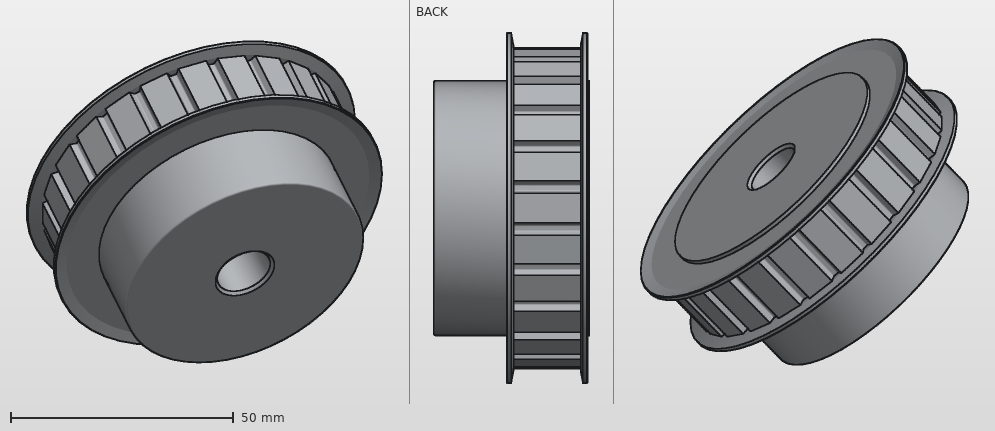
import cadquery as cq
import math

total_length = 34.9

flange_radius = 39.3
bend_radius = 36.4
flange_thickness = 1.0
bend_offset = 0.55
rim_chamfer = 0.15

track_width = 15.0
tooth_tip_radius = 36.0
tooth_count = 24
groove_top_width = 2.7
groove_floor_width = 1.3
groove_depth = 1.4
groove_fillet = 0.4
pitch_angle = 360 / tooth_count

hub_radius = 28.6
hub_fillet = 0.5
collar_length = 0.4
bore_radius = 6.4
bore_chamfer = 0.7

track_start = collar_length + bend_offset + flange_thickness
track_end = track_start + track_width
track_middle = (track_start + track_end) / 2


def make_hub():
    """Cylinder over the full length, rounded at its far end."""
    hub = cq.Workplane("YZ").circle(hub_radius).extrude(total_length)
    return hub.faces(">X").edges().fillet(hub_fillet)


def make_groove_cutter():
    """Trapezoidal belt groove centred on +Z, with rounded floor corners."""
    floor_radius = tooth_tip_radius - groove_depth
    wall_slope = (groove_top_width - groove_floor_width) / 2 / groove_depth
    overshoot = groove_depth / 2
    half_floor = groove_floor_width / 2
    half_mouth = groove_top_width / 2 + wall_slope * overshoot
    mouth_radius = tooth_tip_radius + overshoot
    cutter = (
        cq.Workplane("YZ", origin=(track_start, 0, 0))
        .polyline([
            (-half_floor, floor_radius),
            (half_floor, floor_radius),
            (half_mouth, mouth_radius),
            (-half_mouth, mouth_radius),
        ])
        .close()
        .extrude(track_width)
    )
    return cutter.faces("<Z").edges("|X").fillet(groove_fillet)


def make_track():
    """Regular polygon with one flat per tooth, grooved at every corner."""
    corner_radius = tooth_tip_radius / math.cos(math.radians(pitch_angle / 2))
    blank = (
        cq.Workplane("YZ", origin=(track_start, 0, 0))
        .polygon(tooth_count, 2 * corner_radius)
        .extrude(track_width)
    )
    track = blank.rotate((0, 0, 0), (1, 0, 0), pitch_angle / 2)
    cutter = make_groove_cutter()
    for index in range(tooth_count):
        angle = (index + 0.5) * pitch_angle
        track = track.cut(cutter.rotate((0, 0, 0), (1, 0, 0), angle))
    return track


def make_flange():
    """Bent disc on the collar side of the track."""
    rim_outside = collar_length
    rim_inside = rim_outside + flange_thickness
    disc_outside = rim_outside + bend_offset
    profile = (
        cq.Workplane("XY")
        .moveTo(track_start, 0)
        .lineTo(track_start, bend_radius)
        .lineTo(rim_inside, flange_radius)
        .lineTo(rim_outside + rim_chamfer, flange_radius)
        .lineTo(rim_outside, flange_radius - rim_chamfer)
        .lineTo(disc_outside, bend_radius)
        .lineTo(disc_outside, 0)
        .close()
    )
    return profile.revolve(360, (0, 0, 0), (1, 0, 0))


def make_bore_cutter():
    """Through bore, chamfered at both ends."""
    mouth_radius = bore_radius + bore_chamfer
    profile = (
        cq.Workplane("XY")
        .moveTo(0, 0)
        .lineTo(0, mouth_radius)
        .lineTo(bore_chamfer, bore_radius)
        .lineTo(total_length - bore_chamfer, bore_radius)
        .lineTo(total_length, mouth_radius)
        .lineTo(total_length, 0)
        .close()
    )
    return profile.revolve(360, (0, 0, 0), (1, 0, 0))


flange = make_flange()
far_flange = flange.mirror("YZ", (track_middle, 0, 0))

result = make_track().union(flange).union(far_flange).union(make_hub()).cut(make_bore_cutter())